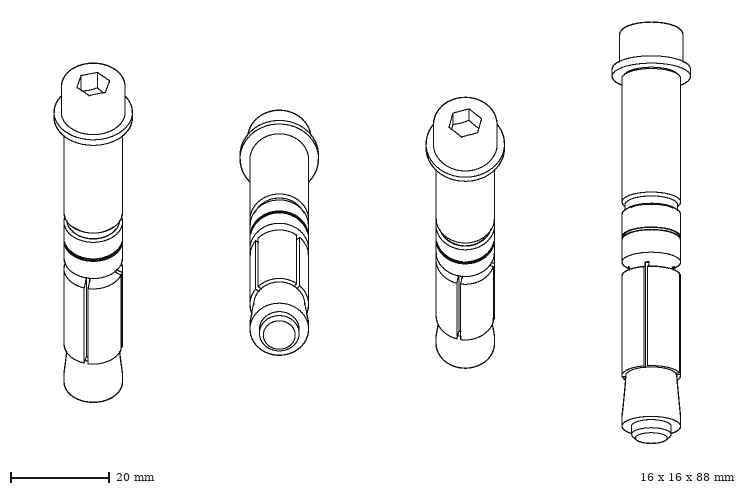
import cadquery as cq
import math

shell_radius = 6.0
stud_radius = 4.05
head_radius = 6.5
washer_radius = 8.0

stud_chamfer = 0.8
cone_foot_bottom = 2.55
cone_foot_top = 4.75
clip_bottom = 13.55
clip_top = 35.1
ring_bottom = 38.1
ring_split = 43.3
ring_top = 48.5
collar_bottom = 48.9
collar_top = 50.5
sleeve_bottom = 51.1
sleeve_top = 78.3
washer_top = 79.9
head_top = 88.0

cone_top_radius = 5.2
ring_gap = 0.5
ring_gap_radius = 5.8
undercut_radius = 5.0
collar_radius = 5.4
sleeve_chamfer = 0.4
head_fillet = 0.8

twist_angle = 15.0
slot_count = 4
slot_width = 0.8
slot_floor_radius = stud_radius
socket_across_flats = 6.0
socket_depth = 4.4
socket_point_angle = 120.0


def make_body():
    """Revolve the stepped profile of the stud, clip, rings, sleeve and washer."""
    groove_radius = (ring_bottom - clip_top) / 2
    groove_floor = (shell_radius - groove_radius, clip_top + groove_radius)
    gap_bottom = ring_split - ring_gap / 2
    gap_top = ring_split + ring_gap / 2
    profile = (
        cq.Workplane("XZ")
        .moveTo(0, 0)
        .lineTo(stud_radius - stud_chamfer, 0)
        .lineTo(stud_radius, stud_chamfer)
        .lineTo(stud_radius, cone_foot_bottom)
        .lineTo(shell_radius, cone_foot_bottom)
        .lineTo(shell_radius, cone_foot_top)
        .lineTo(cone_top_radius, clip_bottom)
        .lineTo(shell_radius, clip_bottom)
        .lineTo(shell_radius, clip_top)
        .threePointArc(groove_floor, (shell_radius, ring_bottom))
        .lineTo(shell_radius, gap_bottom)
        .lineTo(ring_gap_radius, gap_bottom)
        .lineTo(ring_gap_radius, gap_top)
        .lineTo(shell_radius, gap_top)
        .lineTo(shell_radius, ring_top)
        .lineTo(undercut_radius, ring_top)
        .lineTo(undercut_radius, collar_bottom)
        .lineTo(collar_radius, collar_bottom)
        .lineTo(collar_radius, collar_top)
        .lineTo(shell_radius, sleeve_bottom)
        .lineTo(shell_radius, sleeve_top - sleeve_chamfer)
        .lineTo(shell_radius - sleeve_chamfer, sleeve_top)
        .lineTo(washer_radius, sleeve_top)
        .lineTo(washer_radius, washer_top)
        .lineTo(0, washer_top)
        .close()
    )
    return profile.revolve(360, (0, 0, 0), (0, 1, 0))


def make_head():
    """Cylindrical screw head with a rounded top edge."""
    return (
        cq.Workplane("XY", origin=(0, 0, washer_top))
        .circle(head_radius)
        .extrude(head_top - washer_top)
        .faces(">Z")
        .edges()
        .fillet(head_fillet)
    )


def make_socket():
    """Hexagon socket cutter ending in a drill point."""
    corner_radius = socket_across_flats / math.sqrt(3)
    point_depth = corner_radius / math.tan(math.radians(socket_point_angle / 2))
    wall_bottom = head_top - socket_depth
    point_bottom = wall_bottom - point_depth
    hexagon = (
        cq.Workplane("XY", origin=(0, 0, point_bottom))
        .polygon(6, 2 * corner_radius)
        .extrude(head_top - point_bottom)
        .rotate((0, 0, 0), (0, 0, 1), twist_angle + 30)
    )
    drill = (
        cq.Workplane("XZ")
        .moveTo(0, point_bottom)
        .lineTo(corner_radius, wall_bottom)
        .lineTo(corner_radius, head_top)
        .lineTo(0, head_top)
        .close()
        .revolve(360, (0, 0, 0), (0, 1, 0))
    )
    return hexagon.intersect(drill)


def make_slots():
    """Lengthwise slots through the clip wall, running up to the groove floor."""
    slot_top = (clip_top + ring_bottom) / 2
    slot_height = slot_top - clip_bottom
    blades = cq.Workplane("XY")
    for index in range(slot_count):
        blade = (
            cq.Workplane("XY", origin=(0, 0, clip_bottom))
            .center(washer_radius / 2, 0)
            .rect(washer_radius, slot_width)
            .extrude(slot_height)
            .rotate((0, 0, 0), (0, 0, 1), twist_angle + index * 360 / slot_count)
        )
        blades = blades.add(blade)
    core = (
        cq.Workplane("XY", origin=(0, 0, clip_bottom))
        .circle(slot_floor_radius)
        .extrude(slot_height)
    )
    return blades.combine().cut(core)


result = make_body().union(make_head()).cut(make_socket()).cut(make_slots())